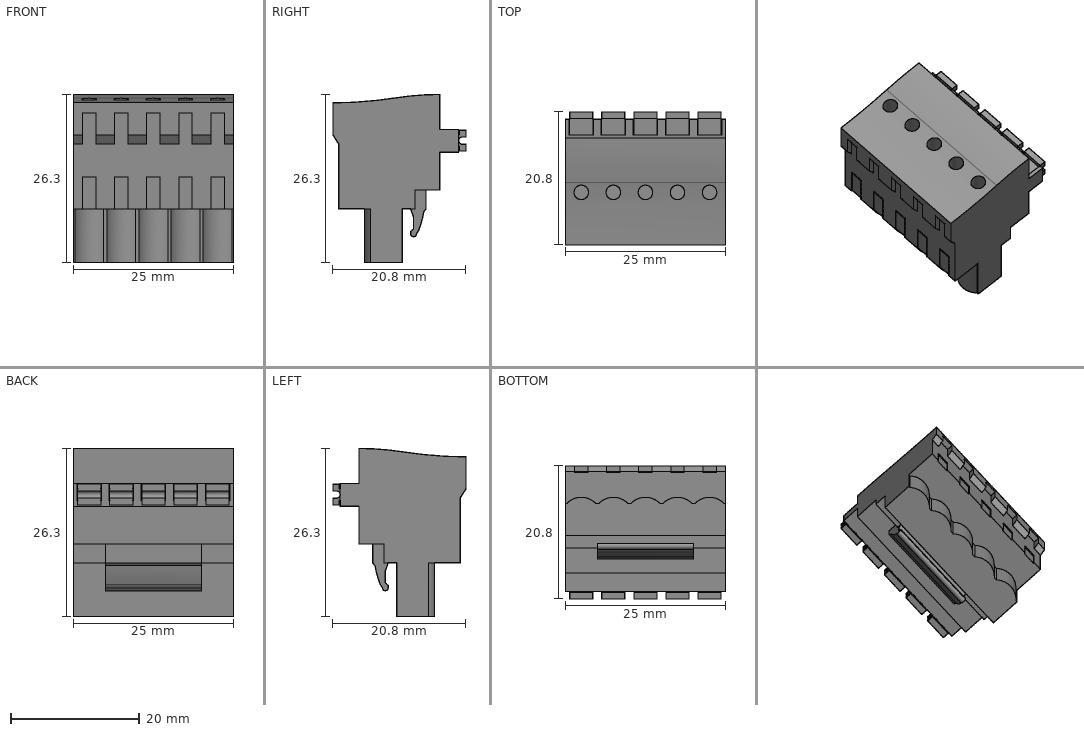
import cadquery as cq

POLES = 5
WIDTH = 25.0
HEIGHT = 26.25
PITCH = WIDTH / POLES
POLE_XS = [(i - (POLES - 1) / 2) * PITCH for i in range(POLES)]

FRONT_Y = -16.71
FRONT_TOP_Z = 24.93
OVERHANG = 0.9
LOWER_FRONT_Y = FRONT_Y + OVERHANG
OVERHANG_Z = 19.92
OVERHANG_FOOT_Z = 18.5
CREST_END_Y = -6.93
REAR_BOTTOM_Z = 11.3
STEP_Y = -3.9
STEP_Z = 8.37
LEDGE_LENGTH = 2.9
LEDGE_TOP_Z = 20.75
LEDGE_BOTTOM_Z = 17.2

PLUG_REAR_Y = -5.88
PLUG_FRONT_Y = -10.86
BARREL_WIDTH = 4.5
BARREL_BULGE = 0.95

HOLE_DIAMETER = 2.25
HOLE_Y = -8.5
HOLE_DEPTH = 5.25
SLOT_WIDTH = 2.1
UPPER_SLOT_TOP_Z = 23.33
LOWER_SLOT_TOP_Z = 13.38
LOWER_SLOT_DEPTH = 0.15

LATCH_WIDTH = 3 * PITCH
LATCH_REAR_Y = -2.15
LATCH_FRONT_Y = -4.6
LATCH_SHOULDER = (-2.5, 7.95)
LATCH_BACK_MID = (-2.83, 6.43)
LATCH_BACK_END = (-3.3, 5.0)
LATCH_NECK_Y = -4.15
LATCH_NECK_TOP_Z = 7.1
LATCH_NECK_BOTTOM_Z = 5.25
LATCH_HOOK_TOP_Z = 4.83
LATCH_TIP_Z = 4.5
LATCH_TIP_RADIUS = 0.47

BUTTON_WIDTH = 3.62
BUTTON_Z = 19.02
BUTTON_END_Y = 4.07
HEAD_HEIGHT = 3.25
HEAD_THICKNESS = 1.02
SHANK_HEIGHT = 1.84
NOTCH_HEIGHT = 1.1
NOTCH_DEPTH = 1.13
POCKET_WIDTH = 3.8
POCKET_START_Y = 0.45
SHANK_BOTTOM_Z = BUTTON_Z - SHANK_HEIGHT / 2
HEAD_BACK_Y = BUTTON_END_Y - HEAD_THICKNESS


def box_between(x_range, y_range, z_range):
    """Box spanning the given (low, high) range on each axis."""
    size = [high - low for low, high in (x_range, y_range, z_range)]
    corner = (x_range[0], y_range[0], z_range[0])
    return cq.Workplane("XY").box(*size, centered=False).translate(corner)


def across(center_x, width):
    """X range of the given width about a center."""
    return center_x - width / 2, center_x + width / 2


def make_shell():
    """Main block, ledge and plug core, with an S-shaped roof of two tangent arcs."""
    roof_drop = HEIGHT - FRONT_TOP_Z
    inflection_z = HEIGHT - roof_drop * CREST_END_Y / FRONT_Y
    crest_mid = (CREST_END_Y / 2, HEIGHT - (HEIGHT - inflection_z) / 4)
    valley_mid = ((CREST_END_Y + FRONT_Y) / 2, FRONT_TOP_Z + (inflection_z - FRONT_TOP_Z) / 4)
    return (
        cq.Workplane("YZ")
        .moveTo(0, HEIGHT)
        .threePointArc(crest_mid, (CREST_END_Y, inflection_z))
        .threePointArc(valley_mid, (FRONT_Y, FRONT_TOP_Z))
        .lineTo(FRONT_Y, OVERHANG_Z)
        .lineTo(LOWER_FRONT_Y, OVERHANG_FOOT_Z)
        .lineTo(LOWER_FRONT_Y, STEP_Z)
        .lineTo(PLUG_FRONT_Y, STEP_Z)
        .lineTo(PLUG_FRONT_Y, 0)
        .lineTo(PLUG_REAR_Y, 0)
        .lineTo(PLUG_REAR_Y, STEP_Z)
        .lineTo(STEP_Y, STEP_Z)
        .lineTo(STEP_Y, REAR_BOTTOM_Z)
        .lineTo(0, REAR_BOTTOM_Z)
        .lineTo(0, LEDGE_BOTTOM_Z)
        .lineTo(LEDGE_LENGTH, LEDGE_BOTTOM_Z)
        .lineTo(LEDGE_LENGTH, LEDGE_TOP_Z)
        .lineTo(0, LEDGE_TOP_Z)
        .close()
        .extrude(WIDTH / 2, both=True)
    )


def make_barrel(x):
    """Rounded front of one plug pole."""
    left, right = across(x, BARREL_WIDTH)
    return (
        cq.Workplane("XY")
        .moveTo(left, PLUG_FRONT_Y)
        .threePointArc((x, PLUG_FRONT_Y - BARREL_BULGE), (right, PLUG_FRONT_Y))
        .close()
        .extrude(STEP_Z)
    )


def make_latch():
    """Curved latch arm with a rounded hook tip."""
    tip_y = LATCH_FRONT_Y + LATCH_TIP_RADIUS
    return (
        cq.Workplane("YZ")
        .moveTo(LATCH_REAR_Y, REAR_BOTTOM_Z)
        .lineTo(LATCH_REAR_Y, STEP_Z)
        .lineTo(*LATCH_SHOULDER)
        .threePointArc(LATCH_BACK_MID, LATCH_BACK_END)
        .lineTo(tip_y + LATCH_TIP_RADIUS, LATCH_TIP_Z)
        .threePointArc((tip_y, LATCH_TIP_Z - LATCH_TIP_RADIUS), (LATCH_FRONT_Y, LATCH_TIP_Z))
        .lineTo(LATCH_FRONT_Y, LATCH_HOOK_TOP_Z)
        .lineTo(LATCH_NECK_Y, LATCH_NECK_BOTTOM_Z)
        .lineTo(LATCH_NECK_Y, LATCH_NECK_TOP_Z)
        .lineTo(LATCH_FRONT_Y, STEP_Z)
        .lineTo(STEP_Y, STEP_Z)
        .lineTo(STEP_Y, REAR_BOTTOM_Z)
        .close()
        .extrude(LATCH_WIDTH / 2, both=True)
    )


def cut_pole_openings(body, x):
    """Roof hole, both front slots and the button pocket of one pole."""
    slot_x = across(x, SLOT_WIDTH)
    hole = (
        cq.Workplane("XY", origin=(x, HOLE_Y, HEIGHT))
        .circle(HOLE_DIAMETER / 2)
        .extrude(-HOLE_DEPTH)
    )
    upper_slot = box_between(slot_x, (FRONT_Y, LOWER_FRONT_Y), (OVERHANG_FOOT_Z, UPPER_SLOT_TOP_Z))
    lower_slot = box_between(
        slot_x, (LOWER_FRONT_Y, LOWER_FRONT_Y + LOWER_SLOT_DEPTH), (STEP_Z, LOWER_SLOT_TOP_Z)
    )
    pocket = box_between(
        across(x, POCKET_WIDTH), (POCKET_START_Y, LEDGE_LENGTH), (SHANK_BOTTOM_Z, LEDGE_TOP_Z)
    )
    return body.cut(hole).cut(upper_slot).cut(lower_slot).cut(pocket)


def make_housing():
    """Complete connector housing."""
    body = make_shell().union(make_latch())
    for x in POLE_XS:
        body = body.union(make_barrel(x))
        body = cut_pole_openings(body, x)
    return body


def make_button(x):
    """T-shaped push button with a round-ended screwdriver notch across its head."""
    width = across(x, BUTTON_WIDTH)
    head = box_between(
        width, (HEAD_BACK_Y, BUTTON_END_Y), (BUTTON_Z - HEAD_HEIGHT / 2, BUTTON_Z + HEAD_HEIGHT / 2)
    )
    shank = box_between(
        width, (POCKET_START_Y, HEAD_BACK_Y), (SHANK_BOTTOM_Z, SHANK_BOTTOM_Z + SHANK_HEIGHT)
    )
    notch = (
        cq.Workplane("YZ", origin=(x, BUTTON_END_Y, BUTTON_Z))
        .slot2D(2 * NOTCH_DEPTH, NOTCH_HEIGHT)
        .extrude(BUTTON_WIDTH / 2, both=True)
    )
    return head.union(shank).cut(notch)


housing = make_housing()
buttons = [make_button(x) for x in POLE_XS]
result = cq.Compound.makeCompound([housing.val(), *[button.val() for button in buttons]])